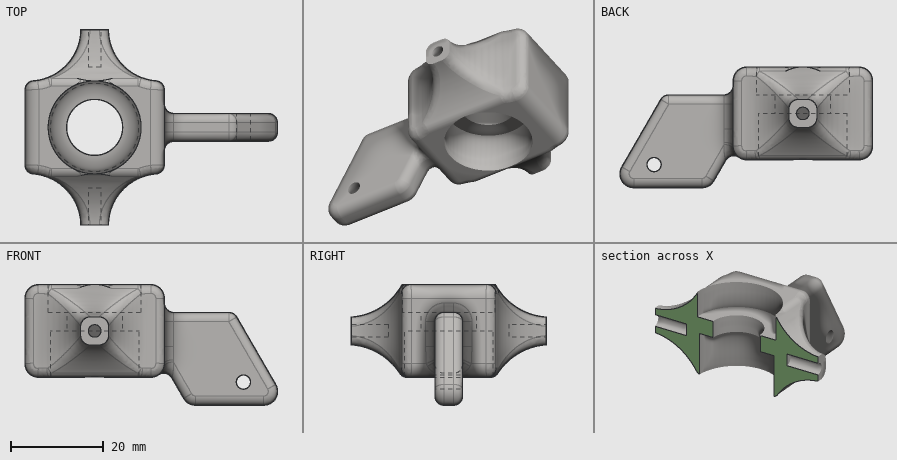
import cadquery as cq
import math

BLOCK_X = 30.0
BLOCK_Y = 20.0
BLOCK_Z = 20.0
LONG_EDGE_RADIUS = 3.0
EDGE_RADIUS = 2.0

ARM_TIP_Y = 21.0
ARM_TIP_WIDTH = 6.0
SIDE_FLARE_RADIUS = ARM_TIP_Y - BLOCK_Y / 2
TOP_FLARE_RADIUS = 13.5
ARM_HOLE_DIAMETER = 2.7
ARM_HOLE_DEPTH = 8.0

BORE_DIAMETER = 12.0
TOP_SEAT_DIAMETER = 20.0
TOP_SEAT_DEPTH = 6.0
RIM_DROP = 1.0
RIM_SPREAD = 1.3
BOTTOM_SEAT_DIAMETER = 19.0
BOTTOM_SEAT_DEPTH = 10.0

TAB_THICKNESS = 6.0
TAB_TOP_Z = 4.0
TAB_BOTTOM_Z = -16.0
TAB_TOP_END_X = 30.0
TAB_BOTTOM_START_X = 20.0
TAB_SLANT = math.radians(60)
TAB_ROOT_X = 13.0
TAB_LOWER_CORNER_RADIUS = 3.0
TAB_HOLE_X = 32.0
TAB_HOLE_Z = -11.0
TAB_HOLE_DIAMETER = 3.0


def flared_prism(plane, half_width, half_depth, shoulder, flare_radius):
    """Prism with the block's outline, narrowing along concave arcs from each shoulder to the arm tips."""
    half_tip = ARM_TIP_WIDTH / 2
    half_block = BLOCK_Y / 2
    prism = cq.Workplane(plane).rect(2 * half_width, BLOCK_Y).extrude(half_depth, both=True)
    flare = (
        cq.Workplane(plane)
        .moveTo(-shoulder, 0)
        .lineTo(-shoulder, half_block)
        .radiusArc((-half_tip, ARM_TIP_Y), -flare_radius)
        .lineTo(half_tip, ARM_TIP_Y)
        .radiusArc((shoulder, half_block), -flare_radius)
        .lineTo(shoulder, 0)
        .close()
        .extrude(half_depth, both=True)
    )
    return prism.union(flare).union(flare.mirror("XZ")).clean()


def sharp_block_with_arms():
    """Common volume of a rounded bar along Y and two flared prisms, one along Z and one along X."""
    bar = (
        cq.Workplane("XZ")
        .rect(BLOCK_X, BLOCK_Z)
        .extrude(ARM_TIP_Y, both=True)
        .edges("|Y")
        .fillet(LONG_EDGE_RADIUS)
    )
    side_shoulder = ARM_TIP_WIDTH / 2 + SIDE_FLARE_RADIUS
    side_flares = flared_prism("XY", BLOCK_X / 2, BLOCK_Z / 2, side_shoulder, SIDE_FLARE_RADIUS)
    top_flares = flared_prism("ZY", BLOCK_Z / 2, BLOCK_X / 2, BLOCK_Z / 2, TOP_FLARE_RADIUS)
    return bar.intersect(side_flares).intersect(top_flares)


def round_edges(body):
    """Fillet the block and the arms."""
    sharp_edges = body.edges("not(|Y or <Y or >Y)").vals()
    shortest_first = sorted(sharp_edges, key=lambda edge: edge.Length())
    return body.newObject(shortest_first).fillet(EDGE_RADIUS)


def seat_rim(body):
    """Part of the sharp body under a cone from the top seat's edge, which reaches the block's Y faces."""
    seat_radius = TOP_SEAT_DIAMETER / 2
    cone = cq.Solid.makeCone(
        seat_radius + RIM_SPREAD,
        seat_radius,
        RIM_DROP,
        cq.Vector(0, 0, BLOCK_Z / 2 - RIM_DROP),
    )
    return body.intersect(cq.Workplane(cone))


def tab():
    """Slanted plate, rounded on every edge outside the block."""
    run_per_drop = 1 / math.tan(TAB_SLANT)
    bottom_end_x = TAB_TOP_END_X + (TAB_TOP_Z - TAB_BOTTOM_Z) * run_per_drop
    root_bottom_z = TAB_BOTTOM_Z + (TAB_BOTTOM_START_X - TAB_ROOT_X) / run_per_drop
    outline = [
        (TAB_ROOT_X, TAB_TOP_Z),
        (TAB_TOP_END_X, TAB_TOP_Z),
        (bottom_end_x, TAB_BOTTOM_Z),
        (TAB_BOTTOM_START_X, TAB_BOTTOM_Z),
        (TAB_ROOT_X, root_bottom_z),
    ]
    plate = cq.Workplane("XZ").polyline(outline).close().extrude(TAB_THICKNESS / 2, both=True)
    plate = plate.edges("|Y and <Z").fillet(TAB_LOWER_CORNER_RADIUS)

    top_corner = plate.edges("|Y and >Z").edges(">X")
    rims = plate.faces("<Y or >Y").edges("not <X")
    return plate.newObject(top_corner.vals() + rims.vals()).fillet(EDGE_RADIUS)


def join_tab(body):
    """Add the tab and fillet the seam where it leaves the block's +X side."""
    joined = body.union(tab())
    margin = 0.1
    half_tab = TAB_THICKNESS / 2
    seam = cq.selectors.BoxSelector(
        (BLOCK_X / 2 - margin, -half_tab - margin, -BLOCK_Z / 2),
        (BLOCK_X / 2 + margin, half_tab + margin, TAB_TOP_Z + margin),
        boundingbox=True,
    )
    return joined.edges(seam).fillet(EDGE_RADIUS)


def cylinder_between(diameter, bottom_z, top_z):
    """Cylinder on the Z axis."""
    return cq.Workplane("XY").workplane(offset=bottom_z).circle(diameter / 2).extrude(top_z - bottom_z)


def cut_stepped_bore(body):
    """Through bore with a wider seat at the top and at the bottom."""
    half_z = BLOCK_Z / 2
    body = body.cut(cylinder_between(BORE_DIAMETER, -half_z, half_z))
    body = body.cut(cylinder_between(TOP_SEAT_DIAMETER, half_z - TOP_SEAT_DEPTH, half_z))
    return body.cut(cylinder_between(BOTTOM_SEAT_DIAMETER, -half_z, BOTTOM_SEAT_DEPTH - half_z))


def cut_arm_holes(body):
    """Blind hole along Y in each arm tip."""
    for side in (1, -1):
        tip = cq.Vector(0, side * ARM_TIP_Y, 0)
        inward = cq.Vector(0, -side, 0)
        body = body.cut(
            cq.Workplane(cq.Solid.makeCylinder(ARM_HOLE_DIAMETER / 2, ARM_HOLE_DEPTH, tip, inward))
        )
    return body


def cut_tab_hole(body):
    """Hole along Y through the tab."""
    hole = (
        cq.Workplane("XZ")
        .center(TAB_HOLE_X, TAB_HOLE_Z)
        .circle(TAB_HOLE_DIAMETER / 2)
        .extrude(TAB_THICKNESS, both=True)
    )
    return body.cut(hole)


sharp_body = sharp_block_with_arms()
result = round_edges(sharp_body).union(seat_rim(sharp_body))
result = join_tab(result)
result = cut_stepped_bore(result)
result = cut_arm_holes(result)
result = cut_tab_hole(result)